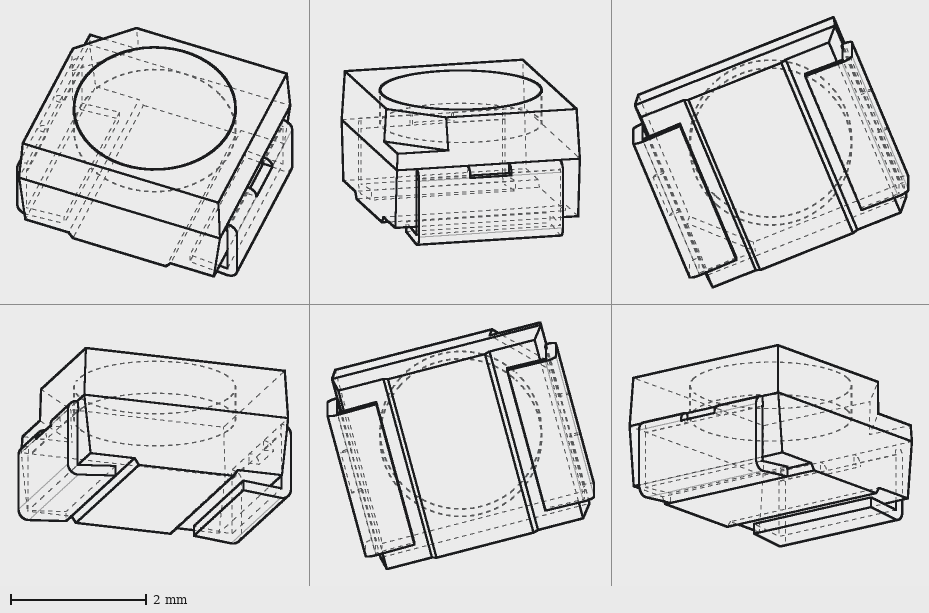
import cadquery as cq
import math

package_length = 3.5
package_width = 2.8
package_height = 1.9

lead_thickness = 0.15
lead_width = 2.2
lead_notch_width = 0.63
foot_slope = 5.0
foot_end_x = 1.0

parting_z = 1.15
parting_length = package_length - 2 * lead_thickness
upper_draft = 3.0
base_bottom_z = 0.25
base_bottom_length = 3.003
corner_leg = 0.8
corner_floor_z = 1.4

ridge_top_length = 1.625
ridge_bottom_length = 1.485
ridge_bottom_z = 0.15

recess_diameter = 2.4
lens_clearance = 0.01
lens_diameter = recess_diameter - 2 * lens_clearance
lens_depth = 0.5


def extrude_along_y(profile, width):
    """Extrude an XZ profile symmetrically about Y = 0."""
    return profile.extrude(width / 2, both=True)


def make_upper_housing():
    """Drafted block with a stepped corner and a round recess for the lens."""
    block = (
        cq.Workplane("XY", origin=(0, 0, parting_z))
        .rect(parting_length, package_width)
        .extrude(package_height - parting_z, taper=upper_draft)
    )
    corner_x = -parting_length / 2
    corner_y = package_width / 2
    corner_step = (
        cq.Workplane("XY", origin=(0, 0, corner_floor_z))
        .moveTo(corner_x, corner_y)
        .lineTo(corner_x + corner_leg, corner_y)
        .lineTo(corner_x, corner_y - corner_leg)
        .close()
        .extrude(package_height - corner_floor_z)
    )
    return block.cut(corner_step).cut(make_top_disc(recess_diameter))


def make_base():
    """Lower half with sloping end walls and a chamfered ridge underneath."""
    top_x = parting_length / 2
    bottom_x = base_bottom_length / 2
    ridge_top_x = ridge_top_length / 2
    ridge_bottom_x = ridge_bottom_length / 2
    profile = (
        cq.Workplane("XZ")
        .moveTo(-top_x, parting_z)
        .lineTo(top_x, parting_z)
        .lineTo(bottom_x, base_bottom_z)
        .lineTo(ridge_top_x, base_bottom_z)
        .lineTo(ridge_bottom_x, ridge_bottom_z)
        .lineTo(-ridge_bottom_x, ridge_bottom_z)
        .lineTo(-ridge_top_x, base_bottom_z)
        .lineTo(-bottom_x, base_bottom_z)
        .close()
    )
    return extrude_along_y(profile, package_width)


def make_top_disc(diameter):
    """Disc flush with the top face, used for the lens and for its recess."""
    return (
        cq.Workplane("XY", origin=(0, 0, package_height - lens_depth))
        .circle(diameter / 2)
        .extrude(lens_depth)
    )


def make_lead(side):
    """Folded lead at the -X end (side = -1) or the +X end (side = 1)."""
    outer_x = package_length / 2
    inner_x = outer_x - lead_thickness
    upper_bend_z = parting_z - lead_thickness
    lower_bend_z = lead_thickness
    slope = math.radians(foot_slope)

    wall_lean = (parting_length - base_bottom_length) / 2 / (parting_z - base_bottom_z)
    arm_end_x = inner_x - lead_thickness * wall_lean

    foot_end_top_z = lower_bend_z + (inner_x - foot_end_x) * math.tan(slope)
    foot_end_bottom_z = foot_end_top_z - lead_thickness / math.cos(slope)

    def bend_point(center_z, angle):
        """Point on the outside of a bend, angle measured from the outward direction."""
        return (
            side * (inner_x + lead_thickness * math.cos(angle)),
            center_z + lead_thickness * math.sin(angle),
        )

    bend_end_angle = -math.pi / 2 - slope
    profile = (
        cq.Workplane("XZ")
        .moveTo(side * inner_x, parting_z)
        .threePointArc(bend_point(upper_bend_z, math.pi / 4), (side * outer_x, upper_bend_z))
        .lineTo(side * outer_x, lower_bend_z)
        .threePointArc(bend_point(lower_bend_z, -math.pi / 4), bend_point(lower_bend_z, bend_end_angle))
        .lineTo(side * foot_end_x, foot_end_bottom_z)
        .lineTo(side * foot_end_x, foot_end_top_z)
        .lineTo(side * inner_x, lower_bend_z)
        .lineTo(side * inner_x, upper_bend_z)
        .lineTo(side * arm_end_x, upper_bend_z)
        .close()
    )
    notch_reach = 2 * (outer_x - arm_end_x)
    notch = cq.Workplane("XY", origin=(side * outer_x, 0, upper_bend_z)).box(
        notch_reach, lead_notch_width, lead_thickness, centered=(True, True, False)
    )
    return extrude_along_y(profile, lead_width).cut(notch)


upper_housing = make_upper_housing()
base = make_base()
lens = make_top_disc(lens_diameter)
leads = [make_lead(side) for side in (-1, 1)]

result = cq.Compound.makeCompound(
    [upper_housing.val(), base.val(), lens.val(), *[lead.val() for lead in leads]]
)